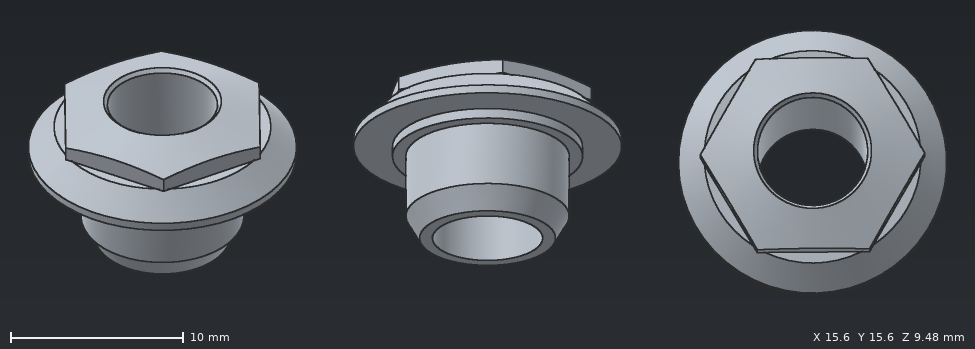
import cadquery as cq
import math

total_height = 9.48
collar_bottom = 5.2
flange_bottom = 5.8
flange_rim_top = 6.3
flange_top = 7.68

shank_diameter = 9.5
lead_in_diameter = 7.9
lead_in_slope = 60
collar_diameter = 11.05
flange_diameter = 15.6
flange_top_diameter = 12.6

hex_across_flats = 11.3
hex_across_corners = hex_across_flats / math.cos(math.radians(30))
crown_diameter = 6.85
crown_slope = 17.5

bore_diameter = 6.4
bore_chamfer = (crown_diameter - bore_diameter) / 2


def revolve_about_z(profile):
    """Solid of revolution from (radius, height) points."""
    return cq.Workplane("XZ").polyline(profile).close().revolve(360, (0, 0), (0, 1))


def make_turned_body():
    """Shank, collar and bevelled flange, revolved about Z."""
    shank_radius = shank_diameter / 2
    lead_in_radius = lead_in_diameter / 2
    lead_in_height = (shank_radius - lead_in_radius) * math.tan(math.radians(lead_in_slope))
    profile = [
        (0, 0),
        (lead_in_radius, 0),
        (shank_radius, lead_in_height),
        (shank_radius, collar_bottom),
        (collar_diameter / 2, collar_bottom),
        (collar_diameter / 2, flange_bottom),
        (flange_diameter / 2, flange_bottom),
        (flange_diameter / 2, flange_rim_top),
        (flange_top_diameter / 2, flange_top),
        (0, flange_top),
    ]
    return revolve_about_z(profile)


def make_hex_head():
    """Hexagon with corners on the X axis, its top trimmed by a shallow cone."""
    hexagon = (
        cq.Workplane("XY")
        .workplane(offset=flange_top)
        .polygon(6, hex_across_corners)
        .extrude(total_height - flange_top)
    )
    corner_radius = hex_across_corners / 2
    crown_radius = crown_diameter / 2
    crown_drop = (corner_radius - crown_radius) * math.tan(math.radians(crown_slope))
    crown_profile = [
        (0, flange_top),
        (corner_radius, flange_top),
        (corner_radius, total_height - crown_drop),
        (crown_radius, total_height),
        (0, total_height),
    ]
    crown = revolve_about_z(crown_profile)
    return hexagon.intersect(crown)


def make_bore():
    """Through bore with a 45 degree chamfer at the head end."""
    bore_radius = bore_diameter / 2
    profile = [
        (0, 0),
        (bore_radius, 0),
        (bore_radius, total_height - bore_chamfer),
        (bore_radius + bore_chamfer, total_height),
        (0, total_height),
    ]
    return revolve_about_z(profile)


result = make_turned_body().union(make_hex_head()).cut(make_bore())